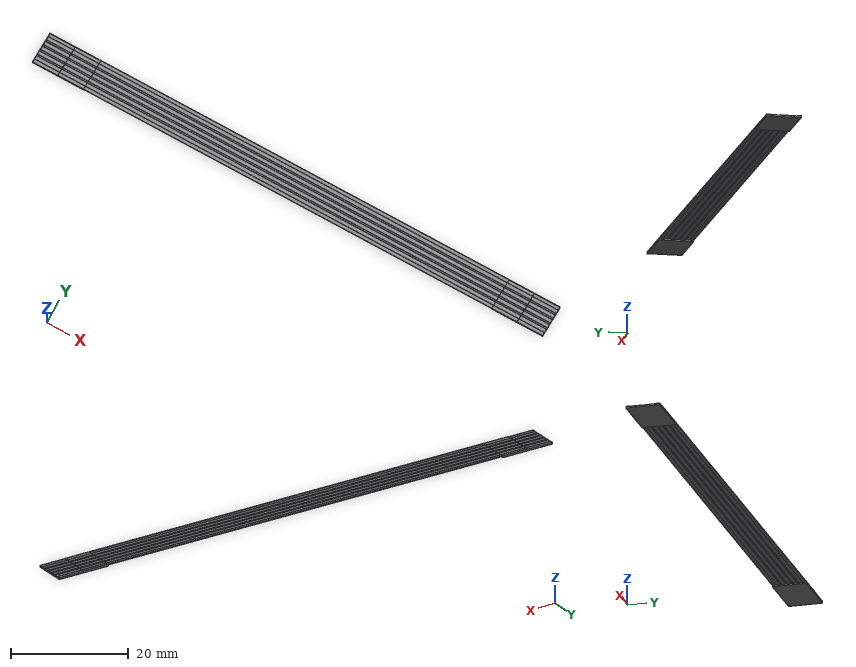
import cadquery as cq

cable_length = 100.0
channel_count = 5
channel_pitch = 1.0
channel_width = 0.7
cable_width = (channel_count + 1) * channel_pitch

exposed_length = 5.0
stiffener_length = 10.0

total_thickness = 0.36
ribbon_thickness = 0.135
channel_height = 0.05
film_thickness = (ribbon_thickness - channel_height) / 2
stiffener_thickness = total_thickness - ribbon_thickness

ribbon_z = stiffener_thickness
channel_z = ribbon_z + film_thickness
top_film_z = channel_z + channel_height


def slab(length, width, thickness, center_x, center_y, bottom_z):
    """Rectangular layer centred on (center_x, center_y), resting on bottom_z."""
    return (
        cq.Workplane("XY")
        .box(length, width, thickness, centered=(True, True, False))
        .translate((center_x, center_y, bottom_z))
    )


def ribbon_base():
    """Full-length ribbon up to the top level of the channels."""
    return slab(cable_length, cable_width, film_thickness + channel_height, 0, 0, ribbon_z)


def top_film():
    """Cover over the channels, stopping short of both ends."""
    return slab(cable_length - 2 * exposed_length, cable_width, film_thickness, 0, 0, top_film_z)


def stiffener(side):
    """Backing strip under the end on the given side (-1 or +1 along X)."""
    center_x = side * (cable_length - stiffener_length) / 2
    return slab(stiffener_length, cable_width, stiffener_thickness, center_x, 0, 0)


def channel(index):
    """Full-length conductor channel, counted from the -Y edge."""
    center_y = (index - (channel_count - 1) / 2) * channel_pitch
    return slab(cable_length, channel_width, channel_height, 0, center_y, channel_z)


result = ribbon_base().union(top_film())
for end_side in (-1, 1):
    result = result.union(stiffener(end_side))
for channel_index in range(channel_count):
    result = result.cut(channel(channel_index))